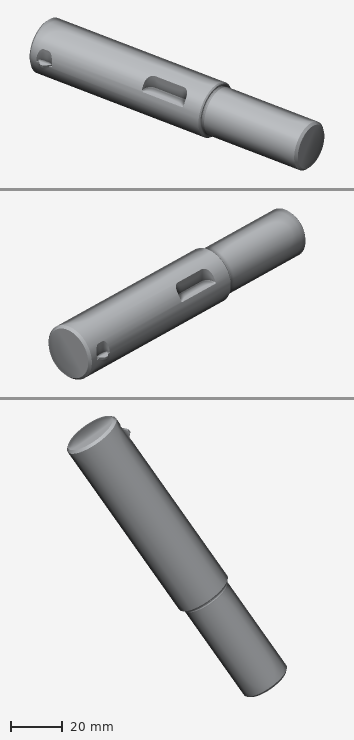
import cadquery as cq

total_length = 125.0
body_radius = 22.8 / 2
body_length = 80.5
body_front_chamfer = 1.0
body_rear_chamfer = 0.5
shank_radius = 20.0 / 2
shank_end_chamfer = 1.0
relief_radius = 19.6 / 2
relief_width = 0.5
relief_taper_length = 0.4

pocket_start = 52.8
pocket_length = 19.6
pocket_corner_radius = 3.2
pocket_back_y = -5.9
pocket_floor_z = 4.0
pocket_floor_chamfer = 0.4

tip_x = 7.5
recess_flat_width = 2.0
recess_corner_radius = 3.1
recess_back_y = -9.9
recess_floor_z = 0.0

tip_reach_y = -13.1
tip_width = 1.5
tip_top_z = 0.5
tip_bottom_z = -0.6
tip_root_y = -10.2
tip_clearance_angle = 10.0


def turned_bar():
    """Revolve the stepped half profile about X."""
    relief_start = body_length + relief_taper_length
    relief_end = relief_start + relief_width
    profile = [
        (0, 0),
        (0, body_radius - body_front_chamfer),
        (body_front_chamfer, body_radius),
        (body_length - body_rear_chamfer, body_radius),
        (body_length, body_radius - body_rear_chamfer),
        (body_length, shank_radius),
        (relief_start, relief_radius),
        (relief_end, relief_radius),
        (relief_end + relief_taper_length, shank_radius),
        (total_length - shank_end_chamfer, shank_radius),
        (total_length, shank_radius - shank_end_chamfer),
        (total_length, 0),
    ]
    return cq.Workplane("XY").polyline(profile).close().revolve(360, (0, 0, 0), (1, 0, 0))


def rounded_cutter(center_x, width, back_y, floor_z, corner_radius):
    """Block open toward -Y and +Z, with its two back corners rounded."""
    depth = 2 * body_radius
    return (
        cq.Workplane("XY", origin=(center_x, back_y - depth / 2, floor_z))
        .rect(width, depth)
        .extrude(body_radius)
        .edges("|Z and >Y")
        .fillet(corner_radius)
    )


def side_pocket():
    center_x = pocket_start + pocket_length / 2
    cutter = rounded_cutter(center_x, pocket_length, pocket_back_y, pocket_floor_z, pocket_corner_radius)
    return cutter.faces("<Z").edges(">Y").chamfer(pocket_floor_chamfer)


def chip_recess():
    width = recess_flat_width + 2 * recess_corner_radius
    return rounded_cutter(tip_x, width, recess_back_y, recess_floor_z, recess_corner_radius)


def cutting_tip():
    root_width = tip_width + 2 * (tip_root_y - tip_reach_y)
    embedded_y = recess_back_y + 1.2
    outline = [
        (tip_x - tip_width / 2, tip_reach_y),
        (tip_x + tip_width / 2, tip_reach_y),
        (tip_x + root_width / 2, tip_root_y),
        (tip_x + tip_width / 2, embedded_y),
        (tip_x - tip_width / 2, embedded_y),
        (tip_x - root_width / 2, tip_root_y),
    ]
    plate = cq.Workplane("XY", origin=(0, 0, tip_top_z)).polyline(outline).close()
    return plate.extrude(tip_bottom_z - tip_top_z, taper=tip_clearance_angle)


result = turned_bar().cut(side_pocket()).cut(chip_recess()).union(cutting_tip())